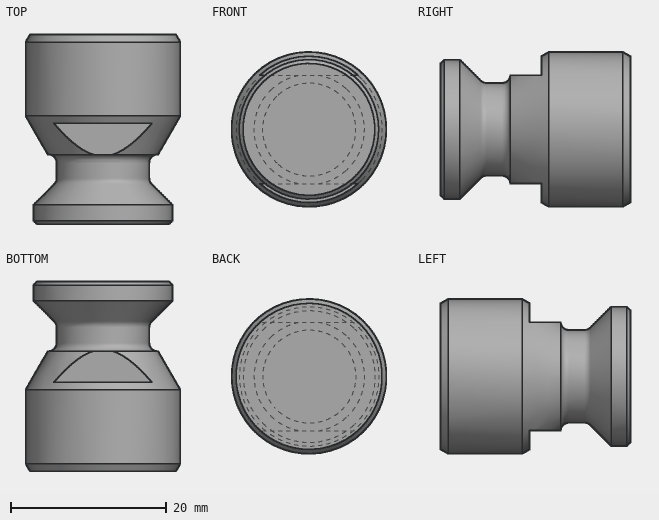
import cadquery as cq
import math

length = 24.5
head_chamfer = 0.5
head_rim_end = 2.5
shoulder_y = 9.0
flat_end_y = 13.0
body_start_y = 14.0
back_chamfer_length = 1.0

body_radius = 10.0
head_radius = 9.0
neck_radius = 6.0
neck_fillet = 1.0

flat_distance = 7.0
taper_angle = math.radians(30)

head_cone_end = head_rim_end + head_radius - neck_radius
shoulder_radius = body_radius - (body_start_y - shoulder_y) * math.tan(taper_angle)
back_radius = body_radius - back_chamfer_length * math.tan(taper_angle)

blend_angle = math.radians(45)
blend_setback = neck_fillet * math.tan(blend_angle / 2)
blend_center = (neck_radius + neck_fillet, head_cone_end + blend_setback)


def blend_point(angle):
    """Point on the head-side blend, at an angle from the neck tangent point toward the head."""
    return (
        blend_center[0] - neck_fillet * math.cos(angle),
        blend_center[1] - neck_fillet * math.sin(angle),
    )


def shoulder_fillet_middle():
    """Middle of the quarter-round fillet between the neck and the shoulder face."""
    offset = neck_fillet * math.cos(math.radians(45))
    return (
        neck_radius + neck_fillet - offset,
        shoulder_y - neck_fillet + offset,
    )


def turned_body():
    """Head, neck, tapered shoulder and cylindrical body, revolved about Y."""
    profile = (
        cq.Workplane("XY")
        .lineTo(head_radius - head_chamfer, 0)
        .lineTo(head_radius, head_chamfer)
        .lineTo(head_radius, head_rim_end)
        .lineTo(*blend_point(blend_angle))
        .threePointArc(blend_point(blend_angle / 2), blend_point(0))
        .lineTo(neck_radius, shoulder_y - neck_fillet)
        .threePointArc(shoulder_fillet_middle(), (neck_radius + neck_fillet, shoulder_y))
        .lineTo(shoulder_radius, shoulder_y)
        .lineTo(body_radius, body_start_y)
        .lineTo(body_radius, length - back_chamfer_length)
        .lineTo(back_radius, length)
        .lineTo(0, length)
        .close()
    )
    return profile.revolve(360, (0, 0, 0), (0, 1, 0))


def flat_cutter(side):
    """Block that cuts one wrench flat into the tapered shoulder; side is +1 or -1 in Z."""
    flat_length = flat_end_y - shoulder_y
    depth = body_radius - flat_distance
    return (
        cq.Workplane("XY")
        .box(2 * body_radius, flat_length, depth)
        .translate((0, shoulder_y + flat_length / 2, side * (flat_distance + depth / 2)))
    )


result = turned_body()
for side in (1, -1):
    result = result.cut(flat_cutter(side))